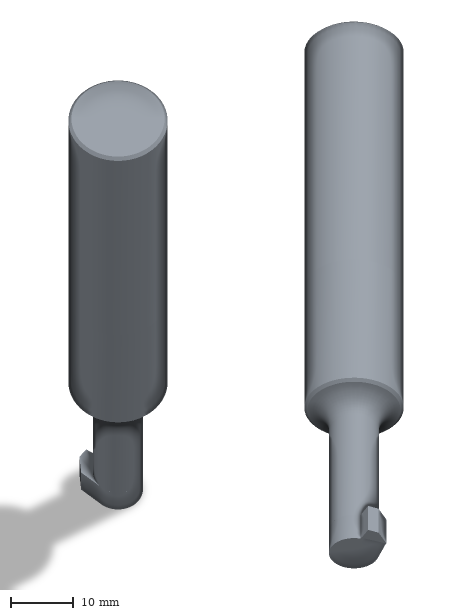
import cadquery as cq
import math

total_length = 101.0
shank_diameter = 15.86
neck_diameter = 8.0
shank_radius = shank_diameter / 2
neck_radius = neck_diameter / 2

head_height = 4.8
shank_joint_height = 53.0

shank_chamfer = 0.5

fillet_start_height = 24.9
fillet_radius = 4.0
fillet_center_radius = neck_radius + fillet_radius
cone_width = 0.5
fillet_end_radius = shank_radius - cone_width
fillet_sweep = math.acos((fillet_center_radius - fillet_end_radius) / fillet_radius)
shoulder_height = 29.3

tip_point = (-6.75, 0.1)
land_corner = (-6.65, -1.7)
flank_corner_x = -4.4
flank_angle = math.radians(1.5)
rake_root_y = 0.4

round_part_lift = 0.15


def fillet_point(angle):
    """Radius and height on the neck fillet after sweeping the given angle from the neck."""
    return (
        fillet_center_radius - fillet_radius * math.cos(angle),
        fillet_start_height + fillet_radius * math.sin(angle),
    )


def make_shank():
    """Plain clamping cylinder, chamfered at its top end."""
    return (
        cq.Workplane("XY")
        .workplane(offset=shank_joint_height)
        .circle(shank_radius)
        .extrude(total_length - shank_joint_height)
        .faces(">Z")
        .chamfer(shank_chamfer)
    )


def make_neck():
    """Lower shank that sweeps through a concave fillet into the slim neck."""
    return (
        cq.Workplane("XZ")
        .moveTo(0, head_height)
        .lineTo(neck_radius, head_height)
        .lineTo(neck_radius, fillet_start_height)
        .threePointArc(fillet_point(fillet_sweep / 2), fillet_point(fillet_sweep))
        .lineTo(shank_radius, shoulder_height)
        .lineTo(shank_radius, shank_joint_height)
        .lineTo(0, shank_joint_height)
        .close()
        .revolve(360, (0, 0, 0), (0, 1, 0))
    )


def make_cutting_head():
    """Round head with a faceted cutting tip on its -X side."""
    flank_start = (-neck_radius * math.sin(flank_angle), -neck_radius * math.cos(flank_angle))
    flank_run = flank_start[0] - flank_corner_x
    flank_corner = (flank_corner_x, flank_start[1] + flank_run * math.tan(flank_angle))
    rake_root = (-math.sqrt(neck_radius**2 - rake_root_y**2), rake_root_y)
    diagonal = neck_radius / math.sqrt(2)
    blank = (
        cq.Workplane("XY")
        .moveTo(*flank_start)
        .lineTo(*flank_corner)
        .lineTo(*land_corner)
        .lineTo(*tip_point)
        .lineTo(*rake_root)
        .threePointArc((diagonal, diagonal), flank_start)
        .close()
        .extrude(head_height)
    )
    underside_step = cq.Workplane("XY").box(
        neck_radius - flank_corner_x,
        neck_diameter,
        round_part_lift,
        centered=(False, True, False),
    )
    return blank.cut(underside_step.translate((flank_corner_x, 0, 0)))


shank = make_shank()
neck = make_neck()
cutting_head = make_cutting_head()

result = cq.Compound.makeCompound([shank.val(), neck.val(), cutting_head.val()])